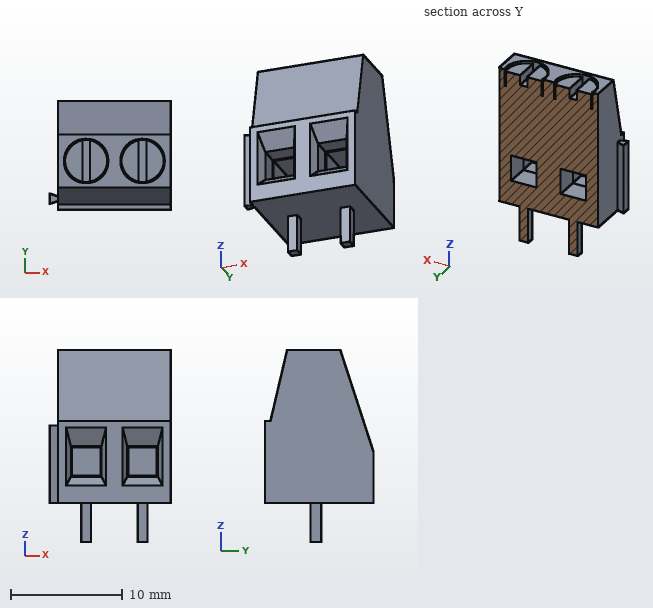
import cadquery as cq

poles = 2
pitch = 5.08
body_length = poles * pitch
pole_positions = [(index + 0.5) * pitch for index in range(poles)]

body_depth = 9.8
body_height = 13.8
ledge_width = 0.5
ledge_height = 7.4
top_front = 2.0
top_back = 6.8
back_wall_height = 4.6

screw_y = 4.4
well_diameter = 4.0
head_diameter = 3.8
head_recess = 0.2
driver_slot_width = 0.7
driver_slot_depth = 1.0
head_thickness = 1.5

funnel_width = 3.6
funnel_bottom = 1.6
funnel_top = 6.8
funnel_depth = 0.85
tunnel_size = 2.76
tunnel_center_z = 3.75
clamp_start = 2.68
clamp_opening = 2.54
clamp_length = 2 * (screw_y - clamp_start)

pin_width = 0.9
pin_thickness = 1.0
pin_length = 3.5
pin_y = 4.6

rib_projection = 0.74
rib_height = 7.0
rib_y = 1.0
rib_root_width = 0.45
rib_outer_width = 0.95


def make_housing():
    profile = [
        (0, 0),
        (0, ledge_height),
        (ledge_width, ledge_height),
        (top_front, body_height),
        (top_back, body_height),
        (body_depth, back_wall_height),
        (body_depth, 0),
    ]
    return cq.Workplane("YZ").polyline(profile).close().extrude(body_length)


def make_dovetail_rib():
    outline = [
        (0, rib_y - rib_root_width / 2),
        (-rib_projection, rib_y - rib_outer_width / 2),
        (-rib_projection, rib_y + rib_outer_width / 2),
        (0, rib_y + rib_root_width / 2),
    ]
    return cq.Workplane("XY").polyline(outline).close().extrude(rib_height)


def make_pin(x):
    return (
        cq.Workplane("XY")
        .center(x, pin_y)
        .rect(pin_width, pin_thickness)
        .extrude(-pin_length)
    )


def make_square_passage(x, size, start, length):
    """Square passage running in +Y from the depth `start`."""
    return (
        cq.Workplane("XZ", origin=(x, start, tunnel_center_z))
        .rect(size, size)
        .extrude(-length)
    )


def make_wire_entry(x):
    funnel_center_z = (funnel_bottom + funnel_top) / 2
    funnel = (
        cq.Workplane("XZ", origin=(x, 0, funnel_center_z))
        .rect(funnel_width, funnel_top - funnel_bottom)
        .workplane(offset=-funnel_depth)
        .center(0, tunnel_center_z - funnel_center_z)
        .rect(tunnel_size, tunnel_size)
        .loft(ruled=True)
    )
    tunnel = make_square_passage(x, tunnel_size, funnel_depth, clamp_start - funnel_depth)
    clamp = make_square_passage(x, clamp_opening, clamp_start, clamp_length)
    return funnel.union(tunnel).union(clamp)


def make_screw_well(x):
    return (
        cq.Workplane("XY", origin=(x, screw_y, body_height))
        .circle(well_diameter / 2)
        .extrude(-(head_recess + head_thickness))
    )


def make_screw_head(x):
    head_top = body_height - head_recess
    head_plane = cq.Workplane("XY", origin=(x, screw_y, head_top))
    head = head_plane.circle(head_diameter / 2).extrude(-head_thickness)
    slot = head_plane.rect(driver_slot_width, head_diameter).extrude(-driver_slot_depth)
    return head.cut(slot)


result = make_housing().union(make_dovetail_rib())
for pole_x in pole_positions:
    result = result.cut(make_wire_entry(pole_x))
    result = result.cut(make_screw_well(pole_x))
    result = result.union(make_screw_head(pole_x))
    result = result.union(make_pin(pole_x))